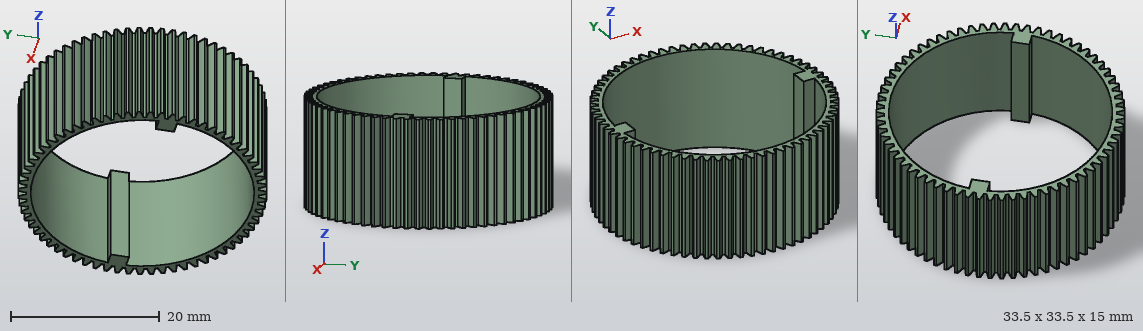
import cadquery as cq
import math

tooth_count = 67
outer_radius = 16.75
bore_radius = 15.05
height = 15.0
pressure_angle = math.radians(20)

addendum_factor = 1.0
dedendum_factor = 1.25
module = 2 * outer_radius / (tooth_count + 2 * addendum_factor)
pitch_radius = module * tooth_count / 2
base_radius = pitch_radius * math.cos(pressure_angle)
root_radius = pitch_radius - dedendum_factor * module

lug_width = 2.5
lug_inner_radius = 13.28

tooth_pitch = 2 * math.pi / tooth_count
first_tooth_angle = math.pi / 2


def polar(radius, angle):
    """Point at a radius and an angle about the gear axis."""
    return (radius * math.cos(angle), radius * math.sin(angle))


def involute(angle):
    """Involute function of a pressure angle."""
    return math.tan(angle) - angle


def half_angle(radius):
    """Angle from the tooth centre line to its involute flank at a radius."""
    local_pressure_angle = math.acos(base_radius / radius)
    return tooth_pitch / 4 + involute(pressure_angle) - involute(local_pressure_angle)


def make_toothed_blank():
    """Solid gear: each tooth has an arc for each involute flank, the tip and the root gap."""
    tip = half_angle(outer_radius)
    middle = half_angle(pitch_radius)
    root = half_angle(root_radius)

    outline = cq.Workplane("XY").workplane(offset=-height / 2)
    outline = outline.moveTo(*polar(root_radius, first_tooth_angle - root))
    for index in range(tooth_count):
        centre = first_tooth_angle + index * tooth_pitch
        gap_centre = centre + tooth_pitch / 2
        next_root = centre + tooth_pitch - root
        outline = (
            outline
            .threePointArc(polar(pitch_radius, centre - middle), polar(outer_radius, centre - tip))
            .threePointArc(polar(outer_radius, centre), polar(outer_radius, centre + tip))
            .threePointArc(polar(pitch_radius, centre + middle), polar(root_radius, centre + root))
            .threePointArc(polar(root_radius, gap_centre), polar(root_radius, next_root))
        )
    return outline.close().extrude(height)


def make_bore():
    """Full-height bore that leaves the two lugs standing."""
    bore = cq.Workplane("XY").circle(bore_radius).extrude(height / 2, both=True)
    lug_length = outer_radius - lug_inner_radius
    lug_centre = lug_inner_radius + lug_length / 2
    lugs = (
        cq.Workplane("XY")
        .pushPoints([(-lug_centre, 0), (lug_centre, 0)])
        .rect(lug_length, lug_width)
        .extrude(height / 2, both=True)
    )
    return bore.cut(lugs)


result = make_toothed_blank().cut(make_bore())